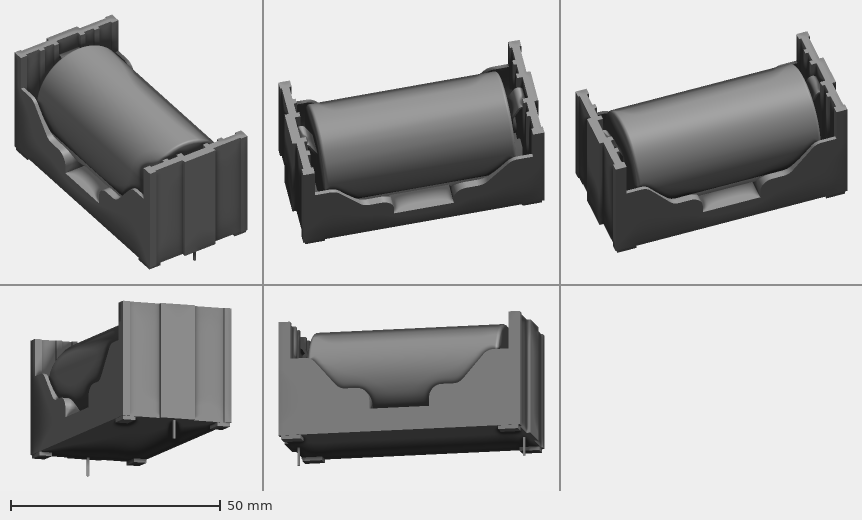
import cadquery as cq
import math


length = 60.2
width = 27.94
height = 27.8
half_length = length / 2
half_width = width / 2

post_outer_offset = 0.58
wall_outer_offset = 0.98
recess_offset = 2.22
wall_inner_offset = 2.83
post_inner_offset = 3.39
rib_face_offset = 3.57
post_half_gap = 12.14
pad_half_width = 4.39
recess_half_width = 3.1
outer_rib_inner_y = 7.12
outer_rib_outer_y = 8.44

cell_radius = 12.14
cell_axis_z = 15.5
cell_edge_radius = 0.78
cell_positive_offset = 7.04
nub_radius = 3.24
nub_length = 2.1
nub_round = 0.5
nub_fillet = 0.8

cradle_radius = 13.07
cradle_bottom_z = cell_axis_z - cradle_radius

ledge_z = 18.73
shelf_z = 10.8
notch_z = 5.56
slope_top_offset = 8.53
slope_bottom_offset = 15.44
notch_half_length = 7.32
cutout_radius = 3.13

foot_length = 4.82
foot_width = 3.2
foot_height = 0.9
foot_end_offset = 1.11
foot_side_offset = 0.17

contact_thickness = 0.55
contact_width = 5.75
contact_top_z = 24.15
contact_bend_radius = 1.28
contact_reach = 6.48
spring_angle = math.atan(2)
spring_tip_z = cell_axis_z
pin_width = 0.56
pin_length = 4.46


def box(x_range, y_range, z_range):
    """Axis-aligned box between two limits on each axis."""
    size = [limits[1] - limits[0] for limits in (x_range, y_range, z_range)]
    corner = (x_range[0], y_range[0], z_range[0])
    return cq.Workplane("XY").box(*size, centered=False).translate(corner)


def centred_box(half_x, half_y, z_range):
    return box((-half_x, half_x), (-half_y, half_y), z_range)


def make_shell():
    """Solid block with corner posts and a proud pad on each end."""
    full_height = (0, height)
    shell = centred_box(half_length - wall_outer_offset, half_width, full_height)
    pad = centred_box(half_length, pad_half_width, full_height)
    posts = centred_box(half_length - post_outer_offset, half_width, full_height)
    between_posts = centred_box(half_length, post_half_gap, full_height)
    return shell.union(posts.cut(between_posts)).union(pad)


def make_cradle():
    """U-shaped pocket, stepped in at the corner posts."""
    wall_inner_x = half_length - wall_inner_offset
    trough = (
        cq.Workplane("YZ")
        .moveTo(-cradle_radius, height)
        .lineTo(-cradle_radius, cell_axis_z)
        .threePointArc((0, cradle_bottom_z), (cradle_radius, cell_axis_z))
        .lineTo(cradle_radius, height)
        .close()
        .extrude(wall_inner_x, both=True)
    )
    between_posts = centred_box(wall_inner_x, post_half_gap, (0, height))
    past_posts = centred_box(half_length - post_inner_offset, half_width, (0, height))
    return trough.intersect(between_posts.union(past_posts))


def make_side_cutout():
    """Stepped opening through both long walls, rounded where its edges meet."""
    end_x = half_length - post_inner_offset
    slope_top_x = half_length - slope_top_offset
    slope_bottom_x = half_length - slope_bottom_offset
    right_half = [
        (notch_half_length, notch_z),
        (notch_half_length, shelf_z),
        (slope_bottom_x, shelf_z),
        (slope_top_x, ledge_z),
        (end_x, ledge_z),
        (end_x, height),
    ]
    left_half = [(-x, z) for x, z in reversed(right_half)]
    cutout = (
        cq.Workplane("XZ")
        .polyline(right_half + left_half)
        .close()
        .extrude(half_width, both=True)
    )
    rounded_corners = right_half[1:4] + left_half[2:5]
    for x, z in rounded_corners:
        edge = cq.selectors.NearestToPointSelector((x, 0, z))
        cutout = cutout.edges("|Y").edges(edge).fillet(cutout_radius)
    return cutout


def make_ribs():
    """Upright ribs on the inner faces of both end walls."""
    rib_root_x = half_length - recess_offset
    rib_face_x = half_length - rib_face_offset
    ribs = cq.Workplane("XY")
    for end in (-1, 1):
        for side in (-1, 1):
            for inner_y, outer_y in (
                (recess_half_width, pad_half_width),
                (outer_rib_inner_y, outer_rib_outer_y),
            ):
                x_range = sorted((end * rib_face_x, end * rib_root_x))
                y_range = sorted((side * inner_y, side * outer_y))
                ribs = ribs.union(box(x_range, y_range, (0, height)))
    return ribs


def make_feet():
    foot_x = half_length - foot_end_offset - foot_length / 2
    foot_y = half_width - foot_side_offset - foot_width / 2
    return (
        cq.Workplane("XY")
        .rect(2 * foot_x, 2 * foot_y, forConstruction=True)
        .vertices()
        .rect(foot_length, foot_width)
        .extrude(-foot_height)
    )


def pin_x_range():
    """X limits of the contact plate and pin at the negative-X end."""
    back_x = -half_length + recess_offset
    return (back_x, back_x + contact_thickness)


def make_housing():
    housing = make_shell().cut(make_cradle()).cut(make_side_cutout())
    housing = housing.union(make_ribs()).union(make_feet())
    recess = centred_box(half_length - recess_offset, recess_half_width, (cradle_bottom_z, height))
    wall_zone = centred_box(half_length - wall_inner_offset, recess_half_width, (0, height))
    housing = housing.cut(recess.cut(wall_zone))
    pin_hole = box(pin_x_range(), (-pin_width / 2, pin_width / 2), (0, height))
    return housing.cut(pin_hole).cut(pin_hole.mirror("YZ"))


def make_cell():
    """Cylindrical cell with a rounded positive nub at the negative-X end."""
    positive_x = -half_length + cell_positive_offset
    negative_x = half_length - contact_reach
    nub_x = positive_x - nub_length
    profile = (
        cq.Workplane("XY")
        .moveTo(nub_x, 0)
        .lineTo(nub_x, nub_radius - nub_round)
        .radiusArc((nub_x + nub_round, nub_radius), nub_round)
        .lineTo(positive_x - nub_fillet, nub_radius)
        .radiusArc((positive_x, nub_radius + nub_fillet), -nub_fillet)
        .lineTo(positive_x, cell_radius - cell_edge_radius)
        .radiusArc((positive_x + cell_edge_radius, cell_radius), cell_edge_radius)
        .lineTo(negative_x - cell_edge_radius, cell_radius)
        .radiusArc((negative_x, cell_radius - cell_edge_radius), cell_edge_radius)
        .lineTo(negative_x, 0)
        .close()
    )
    return profile.revolve(360, (0, 0, 0), (1, 0, 0)).translate((0, 0, cell_axis_z))


def make_contact():
    """Contact at the negative-X end: back plate, bent-over spring leaf and solder pin."""
    back_x, front_x = pin_x_range()
    bend_x = back_x + contact_bend_radius
    bend_z = contact_top_z - contact_bend_radius
    inner_radius = contact_bend_radius - contact_thickness

    leaf_angle = math.pi / 2 - spring_angle
    crown_angle = math.pi / 2
    tip_outer_x = -half_length + contact_reach
    tip_inner_x = tip_outer_x - contact_thickness

    def bend_point(radius, angle):
        return (bend_x + radius * math.cos(angle), bend_z + radius * math.sin(angle))

    def spring_corner(radius, x):
        """Point at x on the sloping line tangent to the bend arc of the given radius."""
        start_x, start_z = bend_point(radius, leaf_angle)
        return (x, start_z - (x - start_x) * math.tan(spring_angle))

    strip = (
        cq.Workplane("XZ")
        .moveTo(back_x, cradle_bottom_z)
        .lineTo(back_x, bend_z)
        .threePointArc(
            bend_point(contact_bend_radius, crown_angle),
            bend_point(contact_bend_radius, leaf_angle),
        )
        .lineTo(*spring_corner(contact_bend_radius, tip_outer_x))
        .lineTo(tip_outer_x, spring_tip_z)
        .lineTo(tip_inner_x, spring_tip_z)
        .lineTo(*spring_corner(inner_radius, tip_inner_x))
        .lineTo(*bend_point(inner_radius, leaf_angle))
        .threePointArc(bend_point(inner_radius, crown_angle), (front_x, bend_z))
        .lineTo(front_x, cradle_bottom_z)
        .close()
        .extrude(contact_width / 2, both=True)
    )
    pin = box((back_x, front_x), (-pin_width / 2, pin_width / 2), (-pin_length, bend_z))
    return strip.union(pin)


housing = make_housing()
cell = make_cell()

positive_contact = make_contact().cut(cell)
negative_contact = make_contact().mirror("YZ")

result = cq.Compound.makeCompound(
    [
        *housing.solids().vals(),
        *cell.solids().vals(),
        *positive_contact.solids().vals(),
        *negative_contact.solids().vals(),
    ]
)